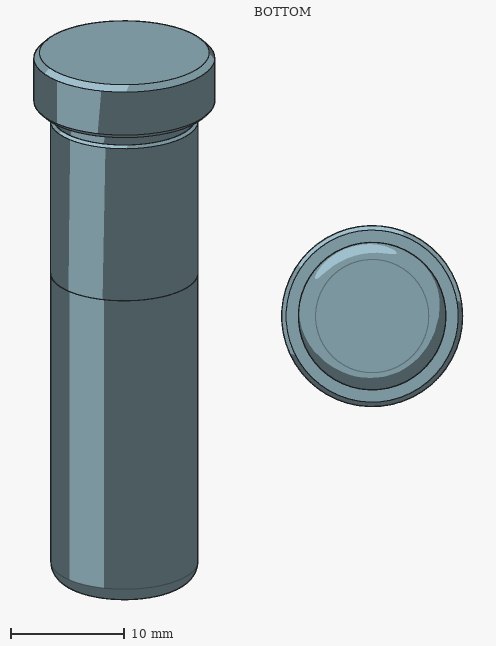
import cadquery as cq

total_length = 50.0
head_diameter = 16.0
head_height = 5.0
head_top_chamfer = 0.5
head_bottom_chamfer = 0.4
neck_diameter = 12.5
neck_length = 1.25
fit_diameter = 13.05
fit_chamfer = 0.25
shank_diameter = 13.0
shank_length = 29.0
tip_radius = 1.5

head_bottom = total_length - head_height
fit_top = head_bottom - neck_length


def cylinder(diameter, bottom, top):
    """Solid cylinder on the Z axis between two levels."""
    return cq.Workplane("XY").workplane(offset=bottom).circle(diameter / 2).extrude(top - bottom)


def make_head():
    """Disc with both rims chamfered."""
    head = cylinder(head_diameter, head_bottom, total_length)
    head = head.faces(">Z").edges().chamfer(head_top_chamfer)
    return head.faces("<Z").edges().chamfer(head_bottom_chamfer)


def make_neck():
    """Relief groove under the head."""
    return cylinder(neck_diameter, fit_top, head_bottom)


def make_fit_section():
    """Slightly oversize length of the shank, chamfered at the neck."""
    fit_section = cylinder(fit_diameter, shank_length, fit_top)
    return fit_section.faces(">Z").edges().chamfer(fit_chamfer)


def make_shank():
    """Plain cylinder with a rounded tip."""
    shank = cylinder(shank_diameter, 0, shank_length)
    return shank.faces("<Z").edges().fillet(tip_radius)


result = make_shank().union(make_fit_section()).union(make_neck()).union(make_head())